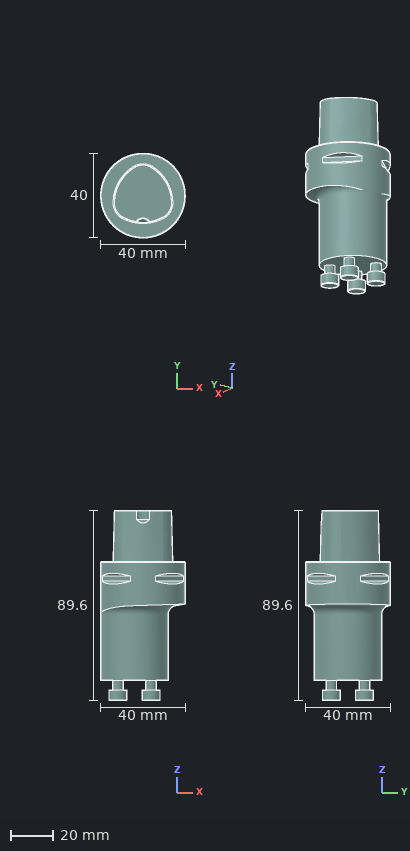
import cadquery as cq
import math

total_height = 89.6
shank_height = 24.0
flange_top = total_height - shank_height
neck_bottom = 9.6

flange_diameter = 40.0
flange_radius = flange_diameter / 2
flange_chamfer_height = 0.45
flange_chamfer_width = 0.3

neck_diameter = 32.0
neck_radius = neck_diameter / 2
neck_x = neck_radius - flange_radius
neck_fillet_bottom = 40.8
neck_fillet_radius = 4.0
flange_underside_slope = math.radians(10)

lobe_reach = 14.4
flank_reach = 12.5
lobe_center_reach = 6.7
shank_draft = 1 / 40

notch_radius = 3.8
notch_inner_y = -10.8
notch_depth = 4.2
notch_tip_height = 3.5
notch_chamfer = 0.3

groove_drop = 8.1
groove_depth = 2.3
groove_floor_width = 2.4
groove_flank_angle = math.radians(30)

screw_spacing = 15.6
screw_diameter = 5.0
head_diameter = 8.5
head_height = 4.9
head_chamfer = 0.3


def make_body():
    """Flange and offset neck, joined by a fillet that blends into a conical underside."""
    arc_center_r = neck_radius + neck_fillet_radius

    def arc_point(angle):
        return (
            arc_center_r - neck_fillet_radius * math.cos(angle),
            neck_fillet_bottom + neck_fillet_radius * math.sin(angle),
        )

    sweep = math.pi / 2 - flange_underside_slope
    arc_end_r, arc_end_z = arc_point(sweep)
    rim_r = flange_diameter
    rim_z = arc_end_z + (rim_r - arc_end_r) * math.tan(flange_underside_slope)
    relief = (
        cq.Workplane("XZ")
        .moveTo(neck_radius, neck_fillet_bottom)
        .threePointArc(arc_point(sweep / 2), (arc_end_r, arc_end_z))
        .lineTo(rim_r, rim_z)
        .lineTo(rim_r, neck_fillet_bottom)
        .close()
        .revolve(360, (0, 0, 0), (0, 1, 0))
        .translate((neck_x, 0, 0))
    )
    flange = (
        cq.Workplane("XY", origin=(0, 0, neck_fillet_bottom))
        .circle(flange_radius)
        .extrude(flange_top - neck_fillet_bottom)
        .faces(">Z")
        .chamfer(flange_chamfer_height, flange_chamfer_width)
    )
    neck = (
        cq.Workplane("XY", origin=(neck_x, 0, neck_bottom))
        .circle(neck_radius)
        .extrude(neck_fillet_bottom - neck_bottom)
    )
    return flange.cut(relief).union(neck)


def polar(reach, degrees):
    angle = math.radians(degrees)
    return cq.Vector(reach * math.cos(angle), reach * math.sin(angle))


def shank_outline(height, growth):
    """Closed wire of three lobe arcs and three flank arcs, all tangent, grown outward."""
    reach_difference = lobe_reach - flank_reach
    flank_center_reach = (
        reach_difference
        * (2 * lobe_center_reach - reach_difference)
        / (lobe_center_reach - 2 * reach_difference)
    )
    lobe_radius = lobe_reach - lobe_center_reach + growth

    def seam(lobe_angle, flank_angle):
        """Point where a lobe arc meets a flank arc, in line with both centres."""
        lobe_center = polar(lobe_center_reach, lobe_angle)
        flank_center = polar(-flank_center_reach, flank_angle)
        outward = (lobe_center - flank_center).normalized()
        return lobe_center + outward * lobe_radius

    edges = []
    for lobe_angle in (90, 210, 330):
        flank_angle = lobe_angle + 60
        lobe_start = seam(lobe_angle, lobe_angle - 60)
        lobe_end = seam(lobe_angle, flank_angle)
        flank_end = seam(lobe_angle + 120, flank_angle)
        lobe_tip = polar(lobe_reach + growth, lobe_angle)
        flank_middle = polar(flank_reach + growth, flank_angle)
        edges.append(cq.Edge.makeThreePointArc(lobe_start, lobe_tip, lobe_end))
        edges.append(cq.Edge.makeThreePointArc(lobe_end, flank_middle, flank_end))
    return cq.Wire.assembleEdges(edges).translate(cq.Vector(0, 0, height))


def make_shank():
    base = shank_outline(flange_top, shank_height * shank_draft)
    top = shank_outline(total_height, 0)
    return cq.Workplane(obj=cq.Solid.makeLoft([base, top], True))


def make_notch():
    """Upright round pocket with a chamfered mouth and a conical bottom, open through the flank."""
    shoulder_z = total_height - notch_depth
    return (
        cq.Workplane("XZ")
        .moveTo(0, total_height)
        .lineTo(notch_radius + notch_chamfer, total_height)
        .lineTo(notch_radius, total_height - notch_chamfer)
        .lineTo(notch_radius, shoulder_z)
        .lineTo(0, shoulder_z - notch_tip_height)
        .close()
        .revolve(360, (0, 0, 0), (0, 1, 0))
        .translate((0, notch_inner_y - notch_radius, 0))
    )


def make_groove(angle):
    """Straight groove with flared flanks, cut across the flange at the given angle."""
    floor_half = groove_floor_width / 2
    mouth_half = floor_half + groove_depth * math.tan(groove_flank_angle)
    floor_r = flange_radius - groove_depth
    return (
        cq.Workplane("XZ")
        .polyline([
            (floor_r, -floor_half),
            (flange_radius, -mouth_half),
            (flange_radius, mouth_half),
            (floor_r, floor_half),
        ])
        .close()
        .extrude(flange_radius, both=True)
        .translate((0, 0, flange_top - groove_drop))
        .rotate((0, 0, 0), (0, 0, 1), angle)
    )


def make_screws():
    heads = (
        cq.Workplane("XY", origin=(neck_x, 0, 0))
        .rarray(screw_spacing, screw_spacing, 2, 2)
        .circle(head_diameter / 2)
        .extrude(head_height)
        .faces("<Z")
        .chamfer(head_chamfer)
    )
    stems = (
        cq.Workplane("XY", origin=(neck_x, 0, head_height))
        .rarray(screw_spacing, screw_spacing, 2, 2)
        .circle(screw_diameter / 2)
        .extrude(neck_bottom - head_height)
    )
    return heads.union(stems)


result = make_body().union(make_shank()).cut(make_notch())
for groove_angle in (45, 135, 225, 315):
    result = result.cut(make_groove(groove_angle))
result = result.union(make_screws())